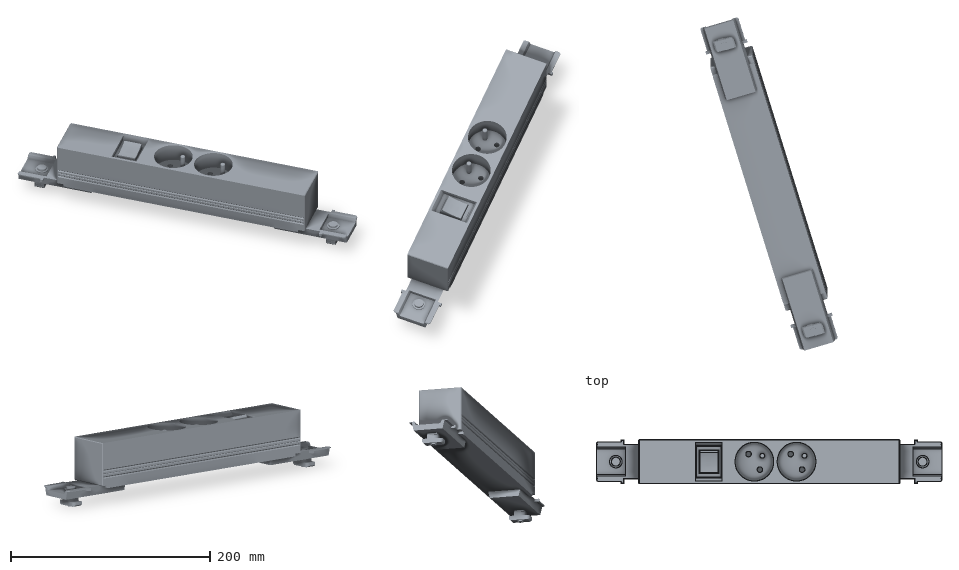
import cadquery as cq

total_length = 347
total_height = 65.5
housing_length = 262.5
housing_width = 44.0
housing_bottom = 17.7
housing_top = 64.5
cap_thickness = 1.5
cap_chamfer = 0.7

side_grooves = [(36.0, 2.0), (32.5, 1.0), (29.0, 2.0)]

bracket_length = 77.0
bracket_bottom = 11.0
bracket_top = 20.5
bracket_top_width = 34.7
bracket_bottom_width = 30.2
trough_length = 29.0
trough_floor = 16.5
trough_floor_width = 25.7
trough_top_width = 29.0
wing_thickness = 1.0
wing_length = 27.5
wing_width = 40.0
wing_chamfer = 1.5
end_chamfer = 0.7
ear_width = 43.5
ear_length = 2.8
inner_ear_length = 2.5
notch_length = 9.7

fastener_x = 154.0
head_top = 19.8
head_radius = 4.5
shank_radius = 5.2
collar_radius = 6.2
collar_height = 1.0
neck_side = 9.7
neck_bottom = 9.7
stop_reach = 5.5
foot_top = 5.5
foot_bottom = 1.0
foot_length = 20.8
foot_corner_radius = 3.5
foot_chamfer = 1.5
foot_nub_radius = 3.0

socket_places = [-15.0, 27.5]
socket_radius = 19.5
socket_depth = 18.0
contact_holes = [(-6.0, 7.5), (5.5, -8.0)]
contact_radius = 2.8
contact_depth = 10.5
earth_pin = (8.0, 6.0)
earth_pin_radius = 2.5
earth_pin_drop = 1.5
earth_pin_round = 1.0

switch_x = -60.7
recess_depth = 5.2
recess_length = 26.5
recess_width = 39.0
recess_floor_width = 32.5
frame_length = 24.3
frame_width = 30.5
frame_height = 0.5
well_length = 20.0
well_width = 23.5
well_depth = 3.5
rocker_length = 18.0
rocker_end = 11.0
ridge_y = 9.0
rocker_middle_y = -0.5
rocker_middle_z = 62.8
rocker_low_z = 61.8
rocker_shoulder_z = 61.8
rocker_sag = 0.5

recess_floor = housing_top - recess_depth


def block(x_range, y_range, z_range):
    """Axis-aligned box between the given limits."""
    sides = [high - low for low, high in (x_range, y_range, z_range)]
    return cq.Workplane("XY").box(*sides, centered=False).translate((x_range[0], y_range[0], z_range[0]))


def centred_block(x_range, width, z_range):
    """Box centred on the XZ plane."""
    return block(x_range, (-width / 2, width / 2), z_range)


def cylinder(x, y, radius, bottom, top):
    """Upright cylinder centred on (x, y)."""
    return cq.Workplane("XY").workplane(offset=bottom).center(x, y).circle(radius).extrude(top - bottom)


def turned_about_z(shape):
    """The same shape half a turn around the vertical axis."""
    return shape.rotate((0, 0, 0), (0, 0, 1), 180)


def tapered_channel(low, high, low_width, high_width, start, length):
    """Symmetric trapezoid in the YZ plane, drawn out along +X."""
    low_y = low_width / 2
    high_y = high_width / 2
    outline = [(-low_y, low), (low_y, low), (high_y, high), (-high_y, high)]
    return cq.Workplane("YZ").workplane(offset=start).polyline(outline).close().extrude(length)


def make_housing():
    half_length = housing_length / 2
    core_half = half_length - cap_thickness
    core = centred_block((-core_half, core_half), housing_width, (housing_bottom, housing_top))
    for z, mouth in side_grooves:
        for side in (-1, 1):
            face_y = side * housing_width / 2
            outline = [(face_y, z - mouth / 2), (face_y - side * mouth / 2, z), (face_y, z + mouth / 2)]
            groove = cq.Workplane("YZ").polyline(outline).close().extrude(core_half, both=True)
            core = core.cut(groove)

    notch_end = notch_length - half_length
    notch = centred_block((-half_length, notch_end), housing_width, (housing_bottom, bracket_top))
    core = core.cut(notch).cut(turned_about_z(notch))

    cap = centred_block((-half_length, -core_half), housing_width, (bracket_top, housing_top))
    cap = cap.faces("<X").chamfer(cap_chamfer)
    return core.union(cap).union(turned_about_z(cap))


def make_bracket():
    """Bracket at the -X end."""
    end = -total_length / 2
    bracket = tapered_channel(
        bracket_bottom, bracket_top, bracket_bottom_width, bracket_top_width, end, bracket_length
    )
    bracket = bracket.edges("<X and >Z").chamfer(end_chamfer)
    wings = centred_block((end, end + wing_length), wing_width, (bracket_top - wing_thickness, bracket_top))
    wings = wings.edges("|Z and <X").chamfer(wing_chamfer)
    wings = wings.edges("<X and >Z").chamfer(end_chamfer)
    wing_end = end + wing_length
    ear_heights = (housing_bottom, bracket_top)
    outer_ears = centred_block((wing_end - ear_length, wing_end), ear_width, ear_heights)
    notch_end = notch_length - housing_length / 2
    inner_ears = centred_block((notch_end - inner_ear_length, notch_end), ear_width, ear_heights)
    trough = tapered_channel(
        trough_floor, bracket_top, trough_floor_width, trough_top_width, end, trough_length
    )
    return bracket.union(wings).union(outer_ears).union(inner_ears).cut(trough)


def make_fastener():
    """Quarter-turn fastener on the Z axis, with a hammer-shaped foot."""
    shank = cylinder(0, 0, shank_radius, foot_bottom, trough_floor)
    head = cylinder(0, 0, head_radius, trough_floor, head_top)
    collar = cylinder(0, 0, collar_radius, trough_floor, trough_floor + collar_height)
    neck = centred_block((-neck_side / 2, neck_side / 2), neck_side, (neck_bottom, bracket_bottom))
    nub = cylinder(0, 0, foot_nub_radius, 0, foot_bottom)
    fastener = shank.union(head).union(collar).union(neck).union(nub)

    stop = block((-stop_reach, 0), (0, shank_radius), (foot_bottom, neck_bottom))

    foot_end = foot_length / 2
    foot_half = (
        cq.Workplane("YZ").workplane(offset=-stop_reach)
        .moveTo(0, foot_bottom).lineTo(foot_end - foot_chamfer, foot_bottom)
        .lineTo(foot_end, foot_bottom + foot_chamfer).lineTo(foot_end, foot_top).lineTo(0, foot_top)
        .close().extrude(stop_reach + shank_radius)
        .edges("|Z and >X and >Y").fillet(foot_corner_radius)
    )
    for part in (stop, foot_half):
        fastener = fastener.union(part).union(turned_about_z(part))
    return fastener


def cut_socket(body, x):
    floor = housing_top - socket_depth
    body = body.cut(cylinder(x, 0, socket_radius, floor, housing_top))
    for dx, dy in contact_holes:
        body = body.cut(cylinder(x + dx, dy, contact_radius, floor - contact_depth, floor))
    dx, dy = earth_pin
    pin = cylinder(x + dx, dy, earth_pin_radius, floor, housing_top - earth_pin_drop)
    return body.union(pin.faces(">Z").fillet(earth_pin_round))


def add_switch(body):
    recess = tapered_channel(
        recess_floor, housing_top, recess_floor_width, recess_width,
        switch_x - recess_length / 2, recess_length,
    )
    frame_top = recess_floor + frame_height
    frame_limits = (switch_x - frame_length / 2, switch_x + frame_length / 2)
    frame = centred_block(frame_limits, frame_width, (recess_floor, frame_top))
    well_floor = recess_floor - well_depth
    well_limits = (switch_x - well_length / 2, switch_x + well_length / 2)
    well = centred_block(well_limits, well_width, (well_floor, frame_top))

    ridge = (ridge_y, total_height)
    middle = (rocker_middle_y, rocker_middle_z)
    low_end = (-rocker_end, rocker_low_z)
    upper_sag = ((ridge[0] + middle[0]) / 2, (ridge[1] + middle[1]) / 2 - rocker_sag)
    lower_sag = ((middle[0] + low_end[0]) / 2, (middle[1] + low_end[1]) / 2 - rocker_sag)
    rocker = (
        cq.Workplane("YZ").workplane(offset=switch_x - rocker_length / 2)
        .moveTo(-rocker_end, well_floor).lineTo(rocker_end, well_floor)
        .lineTo(rocker_end, rocker_shoulder_z).lineTo(*ridge)
        .threePointArc(upper_sag, middle).threePointArc(lower_sag, low_end)
        .close().extrude(rocker_length)
    )
    return body.cut(recess).union(frame).cut(well).union(rocker)


result = make_housing()
bracket = make_bracket()
result = result.union(bracket).union(turned_about_z(bracket))
fastener = make_fastener()
for side in (-1, 1):
    result = result.union(fastener.translate((side * fastener_x, 0, 0)))
for socket_x in socket_places:
    result = cut_socket(result, socket_x)
result = add_switch(result)